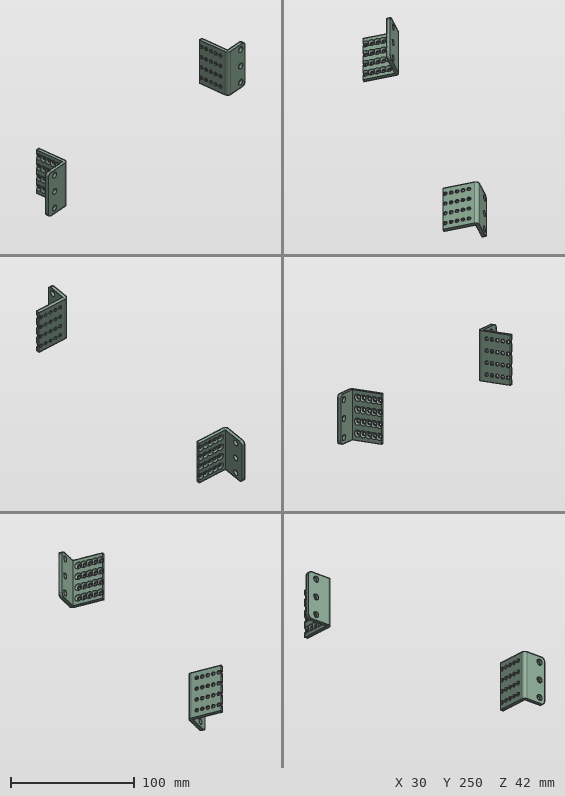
import cadquery as cq

overall_length = 250.0
width = 30.0
height = 42.0
thickness = 3.0
bend_radius = thickness

front_flange_length = 24.4
rear_flange_length = 21.6
flange_corner_radius = 3.4

flange_hole_diameter = 5.0
flange_hole_pitch = 15.85
flange_hole_rows = 3
flange_hole_from_plate = 16.25

plate_hole_diameter = 3.0
countersink_diameter = 6.0
countersink_depth = (countersink_diameter - plate_hole_diameter) / 2
plate_hole_columns = 5
plate_hole_rows = 4
column_pitch = 5.0
row_pitch = 10.0
first_column_from_edge = 2.0

front_plate_y = -overall_length / 2 + front_flange_length
rear_plate_y = overall_length / 2 - rear_flange_length


def centred_positions(count, pitch):
    """Evenly spaced positions, centred on zero."""
    return [(index - (count - 1) / 2) * pitch for index in range(count)]


def countersunk_cutter():
    """Hole with a conical mouth, turned about the Y axis, mouth at the plate's inner face."""
    hole_radius = plate_hole_diameter / 2
    mouth_radius = countersink_diameter / 2
    return (
        cq.Workplane("XY")
        .moveTo(0, 0)
        .lineTo(hole_radius, 0)
        .lineTo(hole_radius, thickness - countersink_depth)
        .lineTo(mouth_radius, thickness)
        .lineTo(0, thickness)
        .close()
        .revolve(360, (0, 0, 0), (0, 1, 0))
    )


def make_bracket(flange_length):
    """Angle bracket whose plate has its outer face at Y = 0 and whose flange runs toward +Y."""
    right = width / 2
    left = -width / 2
    bracket = (
        cq.Workplane("XY")
        .workplane(offset=-height / 2)
        .moveTo(left, 0)
        .lineTo(right - bend_radius, 0)
        .radiusArc((right, bend_radius), -bend_radius)
        .lineTo(right, flange_length)
        .lineTo(right - thickness, flange_length)
        .lineTo(right - thickness, thickness)
        .lineTo(left, thickness)
        .close()
        .extrude(height)
    )

    bracket = bracket.faces(">Y").edges("|X").fillet(flange_corner_radius)

    flange_rows = centred_positions(flange_hole_rows, flange_hole_pitch)
    flange_holes = [(flange_hole_from_plate, z) for z in flange_rows]
    bracket = (
        bracket.faces(">X")
        .workplane(origin=(right, 0, 0))
        .pushPoints(flange_holes)
        .hole(flange_hole_diameter)
    )

    columns = [left + first_column_from_edge + index * column_pitch for index in range(plate_hole_columns)]
    rows = centred_positions(plate_hole_rows, row_pitch)
    for x in columns:
        for z in rows:
            bracket = bracket.cut(countersunk_cutter().translate((x, 0, z)))
    return bracket


front_bracket = make_bracket(front_flange_length).mirror("XZ").translate((0, front_plate_y, 0))
rear_bracket = make_bracket(rear_flange_length).translate((0, rear_plate_y, 0))

result = cq.Compound.makeCompound([front_bracket.val(), rear_bracket.val()])